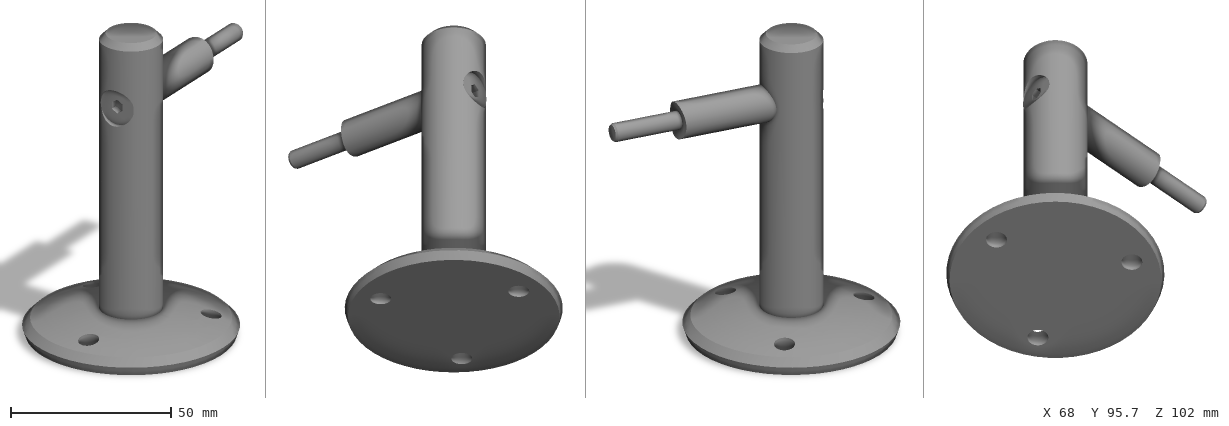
import cadquery as cq
import math

BASE_BOTTOM_D = 66.0
BASE_RIM_D = 68.0
BASE_DOME_D = 63.0
RIM_Z = 3.0
DOME_EDGE_Z = 5.4
BASE_HEIGHT = 9.0
DOME_RADIUS = 112.2
MOUNT_HOLE_D = 6.5
MOUNT_HOLE_COUNT = 3
MOUNT_CIRCLE_R = 25.0
FIRST_HOLE_ANGLE = -90.0

TOTAL_HEIGHT = 102.0
POST_D = 20.0
POST_CHAMFER = 2.0

ARM_Z = 80.0
SLEEVE_D = 12.0
SCREW_D = 6.0
HEAD_D = 12.1
SCREW_HEAD_Y = -8.2
SCREW_TIP_Y = 61.7
SCREW_TIP_LENGTH = 0.7
SCREW_TIP_INSET = 0.4
HEAD_CONE_LENGTH = (HEAD_D - SCREW_D) / 2
HEX_FLATS = 4.0
HEX_DEPTH = 2.3
HEX_POINT_ANGLE = 140.0

SADDLE_Y = 39.0
RAIL_R = 24.2


def arm_profile():
    """Sketch plane at the arm's height, normal along +Y."""
    return cq.Workplane("XZ", origin=(0, 0, ARM_Z)).transformed(rotate=(180, 0, 0))


def arm_cylinder(diameter, y_start, y_end):
    """Cylinder along the arm axis between two Y positions."""
    return arm_profile().workplane(offset=y_start).circle(diameter / 2).extrude(y_end - y_start)


def post_cylinder():
    """Plain post standing on the flat seat at the top of the base."""
    seat = cq.Workplane("XY", origin=(0, 0, BASE_HEIGHT))
    return seat.circle(POST_D / 2).extrude(TOTAL_HEIGHT - BASE_HEIGHT)


def dome_midpoint():
    """Point on the dome arc halfway between the post seat and the dome's edge."""
    inner_r, outer_r = POST_D / 2, BASE_DOME_D / 2
    run, drop = outer_r - inner_r, BASE_HEIGHT - DOME_EDGE_Z
    chord = math.hypot(run, drop)
    bulge = DOME_RADIUS - math.sqrt(DOME_RADIUS**2 - (chord / 2) ** 2)
    mid_r = (inner_r + outer_r) / 2 + bulge * drop / chord
    mid_z = (BASE_HEIGHT + DOME_EDGE_Z) / 2 + bulge * run / chord
    return mid_r, mid_z


def make_base():
    disc = (
        cq.Workplane("XZ")
        .lineTo(BASE_BOTTOM_D / 2, 0)
        .lineTo(BASE_RIM_D / 2, RIM_Z)
        .lineTo(BASE_DOME_D / 2, DOME_EDGE_Z)
        .threePointArc(dome_midpoint(), (POST_D / 2, BASE_HEIGHT))
        .lineTo(0, BASE_HEIGHT)
        .close()
        .revolve(360, (0, 0, 0), (0, 1, 0))
    )
    holes = (
        cq.Workplane("XY")
        .polarArray(MOUNT_CIRCLE_R, FIRST_HOLE_ANGLE, 360, MOUNT_HOLE_COUNT)
        .circle(MOUNT_HOLE_D / 2)
        .extrude(BASE_HEIGHT)
    )
    return disc.cut(holes)


def screw_blank():
    """Screw without its hex socket: countersunk head, shank and chamfered tip."""
    head_r, shank_r = HEAD_D / 2, SCREW_D / 2
    return (
        cq.Workplane("XY", origin=(0, 0, ARM_Z))
        .moveTo(0, SCREW_HEAD_Y)
        .lineTo(head_r, SCREW_HEAD_Y)
        .lineTo(shank_r, SCREW_HEAD_Y + HEAD_CONE_LENGTH)
        .lineTo(shank_r, SCREW_TIP_Y - SCREW_TIP_LENGTH)
        .lineTo(shank_r - SCREW_TIP_INSET, SCREW_TIP_Y)
        .lineTo(0, SCREW_TIP_Y)
        .close()
        .revolve(360, (0, 0, 0), (0, 1, 0))
    )


def make_post():
    post = post_cylinder().faces(">Z").chamfer(POST_CHAMFER)
    head_recess = arm_cylinder(HEAD_D, -POST_D / 2, SCREW_HEAD_Y)
    return post.cut(head_recess).cut(screw_blank())


def make_sleeve():
    """Tube fitted round the post at one end and hollowed for the rail at the other."""
    sleeve = arm_cylinder(SLEEVE_D, 0, SADDLE_Y + RAIL_R)
    rail = (
        cq.Workplane("YZ", origin=(-SLEEVE_D / 2, 0, 0))
        .center(SADDLE_Y + RAIL_R, ARM_Z)
        .circle(RAIL_R)
        .extrude(SLEEVE_D)
    )
    return sleeve.cut(rail).cut(post_cylinder()).cut(screw_blank())


def make_screw():
    hex_corners_d = HEX_FLATS / math.cos(math.pi / 6)
    point_depth = hex_corners_d / 2 / math.tan(math.radians(HEX_POINT_ANGLE / 2))
    head_plane = arm_profile().workplane(offset=SCREW_HEAD_Y)
    corner_up = (0, 0, 30)
    hexagon = head_plane.transformed(rotate=corner_up).polygon(6, hex_corners_d)
    flat_socket = hexagon.extrude(HEX_DEPTH)
    socket_floor = cq.Vector(0, SCREW_HEAD_Y + HEX_DEPTH, ARM_Z)
    cone = cq.Solid.makeCone(hex_corners_d / 2, 0, point_depth, socket_floor, cq.Vector(0, 1, 0))
    hexagon = head_plane.transformed(rotate=corner_up).polygon(6, hex_corners_d)
    point = hexagon.extrude(HEX_DEPTH + point_depth).intersect(cq.Workplane(cone))
    return screw_blank().cut(flat_socket).cut(point)


base = make_base()
post = make_post()
sleeve = make_sleeve()
screw = make_screw()

result = cq.Compound.makeCompound([base.val(), post.val(), sleeve.val(), screw.val()])